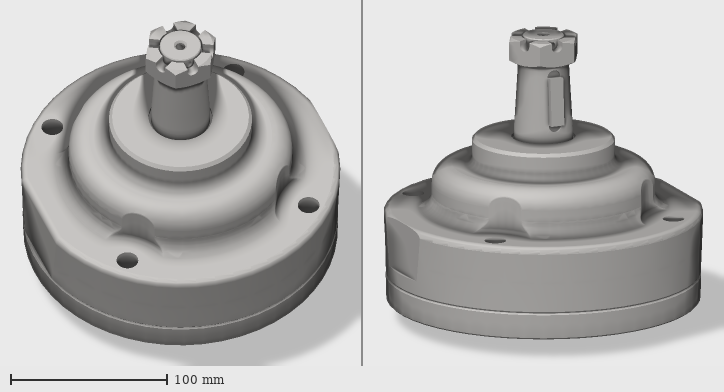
import cadquery as cq
import math

PLATE_BOTTOM = 12.5
SEAM = 29.9
FLANGE_TOP = 73.7
DOME_SIDE_BOTTOM = 82.7
DOME_SIDE_TOP = 89.9
DOME_TOP = 102.8
COLLAR_SIDE_BOTTOM = 107.7
COLLAR_TOP = 120.5
CONE_BOTTOM = 125.3
CONE_TOP = 168.7
NUT_BOTTOM = 171.2
NUT_TOP = 187.2
SHAFT_TOP = 188.0

HUB_RADIUS = 50.8
PLATE_TOP_RADIUS = 101.2
PLATE_BOTTOM_RADIUS = 100.7
FLANGE_TOP_RADIUS = 102.5
FLANGE_BOTTOM_RADIUS = 101.0
FLANGE_ROUNDING = 4.0
EDGE_CHAMFER = 1.0
SEAM_GROOVE_DEPTH = 0.8
FRONT_FLAT_Y = -98.3
BACK_FLAT_Y = 99.1
BACK_FLAT_BOTTOM = 40.1

DOME_RADIUS = 71.7
DOME_FOOT_RADIUS = DOME_RADIUS + 8.5
DOME_CROWN_RADIUS = DOME_RADIUS - (DOME_TOP - DOME_SIDE_TOP)
COLLAR_RADIUS = 45.9
COLLAR_FOOT_RADIUS = COLLAR_RADIUS + COLLAR_SIDE_BOTTOM - DOME_TOP
COLLAR_CHAMFER = 2.0

BOLT_CIRCLE_RADIUS = 88.9
BOLT_HOLE_RADIUS = 7.0
BOLT_ANGLES = (45, 135, 225, 315)
SCALLOP_CENTER_RADIUS = 110.0
SCALLOP_RADIUS = 40.7
SCALLOP_FLOOR_ROUNDING = 2.7
SCALLOP_EDGE_ROUNDING = 1.2

SHOULDER_RADIUS = 19.0
SHOULDER_TOP = 123.7
CLEARANCE_RADIUS = 20.5
CLEARANCE_DEPTH = 2.0
CONE_BOTTOM_RADIUS = 18.95
CONE_TOP_RADIUS = 16.4
THREAD_RADIUS = 13.3
THREAD_CHAMFER = 0.6
CENTER_HOLE_RADIUS = 3.0
CENTER_SINK_RADIUS = 4.3
COTTER_HOLE_RADIUS = 2.5

KEY_WIDTH = 9.0
KEY_LENGTH = 31.1
KEY_HEIGHT = 3.9
KEYWAY_LENGTH = 40.5
KEYWAY_DEPTH = 2.0
KEY_MIDDLE = 147.6

NUT_ACROSS_FLATS = 41.8
NUT_CHAMFER_ANGLE = 30
SLOT_WIDTH = 7.4
SLOT_BOTTOM = 180.8
SLOT_COUNT = 6
COUNTERBORE_RADIUS = 14.3
COUNTERBORE_BOTTOM = 180.2
COTTER_HOLE_Z = SLOT_BOTTOM + COTTER_HOLE_RADIUS


def disc(radius, bottom, top):
    return cq.Workplane("XY").workplane(offset=bottom).circle(radius).extrude(top - bottom)


def quarter_point(center_x, center_z, radius, angle):
    """Point at an angle on a rounding of the turned outline."""
    turn = math.radians(angle)
    return (center_x + radius * math.cos(turn), center_z + radius * math.sin(turn))


def make_base():
    """Hub and plate below the flange, with the lower half of the seam groove."""
    hub = disc(HUB_RADIUS, 0, PLATE_BOTTOM).faces("<Z").chamfer(EDGE_CHAMFER)
    plate = (
        cq.Workplane("XZ")
        .moveTo(0, PLATE_BOTTOM)
        .lineTo(PLATE_BOTTOM_RADIUS - EDGE_CHAMFER, PLATE_BOTTOM)
        .lineTo(PLATE_BOTTOM_RADIUS, PLATE_BOTTOM + EDGE_CHAMFER)
        .lineTo(PLATE_TOP_RADIUS, SEAM - EDGE_CHAMFER)
        .lineTo(PLATE_TOP_RADIUS - SEAM_GROOVE_DEPTH, SEAM)
        .lineTo(0, SEAM)
        .close()
        .revolve(360, (0, 0, 0), (0, 1, 0))
    )
    return hub.union(plate)


def half_space(y_start, direction, bottom):
    """Block beyond a flat, reaching upward from the given level."""
    size = 2 * FLANGE_TOP_RADIUS
    block = cq.Workplane("XY").box(size, size, size, centered=(True, True, False))
    return block.translate((0, y_start + direction * size / 2, bottom))


def make_flange():
    """Drafted flange: the front flat is rounded with the rim, the back flat cuts through it."""
    flange = (
        cq.Workplane("XZ")
        .moveTo(0, SEAM)
        .lineTo(FLANGE_BOTTOM_RADIUS - SEAM_GROOVE_DEPTH, SEAM)
        .lineTo(FLANGE_BOTTOM_RADIUS, SEAM + EDGE_CHAMFER)
        .lineTo(FLANGE_TOP_RADIUS, FLANGE_TOP)
        .lineTo(0, FLANGE_TOP)
        .close()
        .revolve(360, (0, 0, 0), (0, 1, 0))
    )
    flange = flange.cut(half_space(FRONT_FLAT_Y, -1, SEAM))
    flange = flange.faces(">Z").edges().fillet(FLANGE_ROUNDING)
    return flange.cut(half_space(BACK_FLAT_Y, 1, BACK_FLAT_BOTTOM))


def make_dome():
    """Turned dome and collar that stand on the flange."""
    foot_rise = DOME_SIDE_BOTTOM - FLANGE_TOP
    crown_rounding = DOME_TOP - DOME_SIDE_TOP
    collar_rounding = COLLAR_SIDE_BOTTOM - DOME_TOP
    foot_middle = (
        DOME_FOOT_RADIUS - (DOME_FOOT_RADIUS - DOME_RADIUS) * math.sin(math.radians(45)),
        DOME_SIDE_BOTTOM - foot_rise * math.sin(math.radians(45)),
    )
    return (
        cq.Workplane("XZ")
        .moveTo(0, FLANGE_TOP)
        .lineTo(DOME_FOOT_RADIUS, FLANGE_TOP)
        .threePointArc(foot_middle, (DOME_RADIUS, DOME_SIDE_BOTTOM))
        .lineTo(DOME_RADIUS, DOME_SIDE_TOP)
        .threePointArc(
            quarter_point(DOME_CROWN_RADIUS, DOME_SIDE_TOP, crown_rounding, 45),
            (DOME_CROWN_RADIUS, DOME_TOP),
        )
        .lineTo(COLLAR_FOOT_RADIUS, DOME_TOP)
        .threePointArc(
            quarter_point(COLLAR_FOOT_RADIUS, COLLAR_SIDE_BOTTOM, collar_rounding, 225),
            (COLLAR_RADIUS, COLLAR_SIDE_BOTTOM),
        )
        .lineTo(COLLAR_RADIUS, COLLAR_TOP - COLLAR_CHAMFER)
        .lineTo(COLLAR_RADIUS - COLLAR_CHAMFER, COLLAR_TOP)
        .lineTo(0, COLLAR_TOP)
        .close()
        .revolve(360, (0, 0, 0), (0, 1, 0))
    )


def make_scallop_cutter():
    """Cylinder on the +X side whose bottom rim is rounded to round the scallop floor."""
    cutter = disc(SCALLOP_RADIUS, FLANGE_TOP, DOME_TOP)
    cutter = cutter.faces("<Z").edges().fillet(SCALLOP_FLOOR_ROUNDING)
    return cutter.translate((SCALLOP_CENTER_RADIUS, 0, 0))


def cut_scallops(dome):
    """Cut the scallops and round their rims, the only edges that climb away from the XZ seam plane."""
    for angle in BOLT_ANGLES:
        dome = dome.cut(make_scallop_cutter().rotate((0, 0, 0), (0, 0, 1), angle))
    tolerance = 0.02
    rim = dome.edges().filter(
        lambda edge: edge.BoundingBox().zlen > tolerance and abs(edge.Center().y) > tolerance
    )
    return rim.fillet(SCALLOP_EDGE_ROUNDING)


def make_shaft():
    """Turned shaft end: shoulder, taper and a thread that runs from below the nut to the top."""
    return (
        cq.Workplane("XZ")
        .moveTo(0, COLLAR_TOP - CLEARANCE_DEPTH)
        .lineTo(SHOULDER_RADIUS, COLLAR_TOP - CLEARANCE_DEPTH)
        .lineTo(SHOULDER_RADIUS, SHOULDER_TOP)
        .lineTo(CONE_BOTTOM_RADIUS, CONE_BOTTOM)
        .lineTo(CONE_TOP_RADIUS, CONE_TOP)
        .lineTo(THREAD_RADIUS, CONE_TOP)
        .lineTo(THREAD_RADIUS, SHAFT_TOP - THREAD_CHAMFER)
        .lineTo(THREAD_RADIUS - THREAD_CHAMFER, SHAFT_TOP)
        .lineTo(0, SHAFT_TOP)
        .close()
        .revolve(360, (0, 0, 0), (0, 1, 0))
    )


def add_key(shaft):
    """Sink a round-ended keyway into the taper and stand the square-ended key in it."""
    slope = (CONE_BOTTOM_RADIUS - CONE_TOP_RADIUS) / (CONE_TOP - CONE_BOTTOM)
    surface_radius = CONE_TOP_RADIUS + slope * (CONE_TOP - KEY_MIDDLE)
    seat = cq.Workplane(
        cq.Plane(origin=(-surface_radius, 0, KEY_MIDDLE), xDir=(slope, 0, 1), normal=(-1, 0, slope))
    ).workplane(offset=-KEYWAY_DEPTH)
    keyway = seat.slot2D(KEYWAY_LENGTH, KEY_WIDTH).extrude(KEY_HEIGHT)
    key = seat.rect(KEY_LENGTH, KEY_WIDTH).extrude(KEYWAY_DEPTH + KEY_HEIGHT)
    return shaft.cut(keyway).union(key)


def drill_shaft(shaft):
    """Cotter hole along X, and a countersunk center hole that ends in it."""
    cotter_hole = (
        cq.Workplane("YZ").center(0, COTTER_HOLE_Z).circle(COTTER_HOLE_RADIUS)
        .extrude(THREAD_RADIUS, both=True)
    )
    center_hole = disc(CENTER_HOLE_RADIUS, COTTER_HOLE_Z, SHAFT_TOP)
    sink_depth = CENTER_SINK_RADIUS - CENTER_HOLE_RADIUS
    sink = (
        cq.Workplane("XY").workplane(offset=SHAFT_TOP).circle(CENTER_SINK_RADIUS)
        .workplane(offset=-sink_depth).circle(CENTER_HOLE_RADIUS).loft()
    )
    return shaft.cut(cotter_hole).cut(center_hole).cut(sink)


def drill_bolt_holes(body):
    for angle in BOLT_ANGLES:
        hole = disc(BOLT_HOLE_RADIUS, 0, FLANGE_TOP).translate((BOLT_CIRCLE_RADIUS, 0, 0))
        body = body.cut(hole.rotate((0, 0, 0), (0, 0, 1), angle))
    return body


def make_housing():
    """Housing with its shaft end and key as one solid; a shallow ring recess surrounds the shaft."""
    housing = make_base().union(make_flange()).union(cut_scallops(make_dome()))
    housing = housing.cut(disc(CLEARANCE_RADIUS, COLLAR_TOP - CLEARANCE_DEPTH, COLLAR_TOP))
    shaft = drill_shaft(add_key(make_shaft()))
    return drill_bolt_holes(housing.union(shaft))


def make_nut():
    """Castle nut: chamfered hexagon, counterbored, with round-bottomed slots through its flats."""
    corner_radius = NUT_ACROSS_FLATS / 2 / math.cos(math.radians(30))
    flat_radius = NUT_ACROSS_FLATS / 2
    chamfer_height = (corner_radius - flat_radius) * math.tan(math.radians(NUT_CHAMFER_ANGLE))
    hexagon = (
        cq.Workplane("XY").workplane(offset=NUT_BOTTOM)
        .polygon(6, 2 * corner_radius).extrude(NUT_TOP - NUT_BOTTOM)
        .rotate((0, 0, 0), (0, 0, 1), 30)
    )
    turned_blank = (
        cq.Workplane("XZ")
        .moveTo(THREAD_RADIUS, NUT_BOTTOM)
        .lineTo(flat_radius, NUT_BOTTOM)
        .lineTo(corner_radius, NUT_BOTTOM + chamfer_height)
        .lineTo(corner_radius, NUT_TOP - chamfer_height)
        .lineTo(flat_radius, NUT_TOP)
        .lineTo(COUNTERBORE_RADIUS, NUT_TOP)
        .lineTo(COUNTERBORE_RADIUS, COUNTERBORE_BOTTOM)
        .lineTo(THREAD_RADIUS, COUNTERBORE_BOTTOM)
        .close()
        .revolve(360, (0, 0, 0), (0, 1, 0))
    )
    nut = hexagon.intersect(turned_blank)
    slot_height = 2 * (SHAFT_TOP - SLOT_BOTTOM)
    slot = (
        cq.Workplane("YZ").center(0, SLOT_BOTTOM + slot_height / 2)
        .slot2D(slot_height, SLOT_WIDTH, 90).extrude(corner_radius)
    )
    for index in range(SLOT_COUNT):
        nut = nut.cut(slot.rotate((0, 0, 0), (0, 0, 1), index * 360 / SLOT_COUNT))
    return nut


housing = make_housing()
nut = make_nut()
result = cq.Compound.makeCompound([housing.val(), nut.val()])